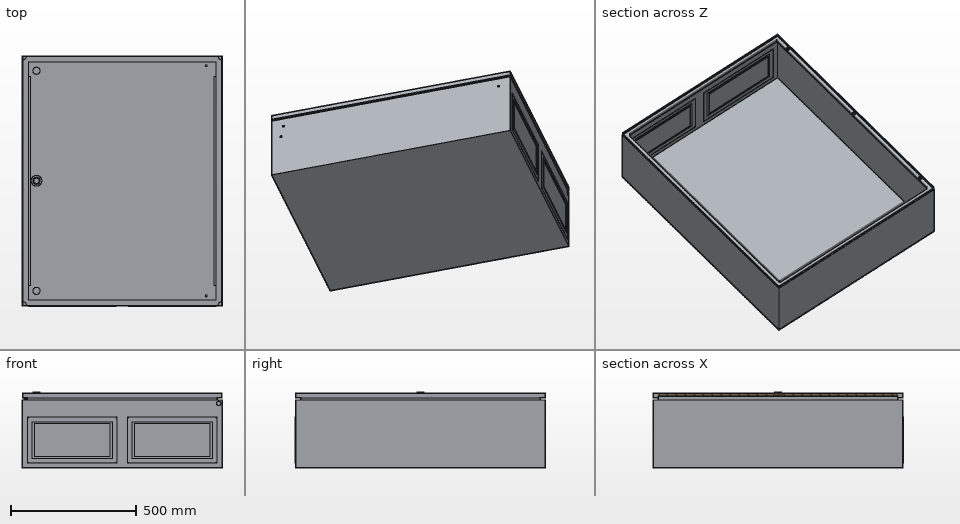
import cadquery as cq


WIDTH = 800.0
LENGTH = 1000.0
CABINET_HEIGHT = 273.0
CABINET_SHEET = 1.5

RIM_WIDTH = 760.0
RIM_LENGTH = 960.0
RIM_CORNER_RADIUS = 6.0
RIM_TOP = 288.0
RIM_LIP = 16.0

STOP_X = -389.0
STOP_PITCH = 421.0
STOP_WIDTH = 8.0
STOP_LENGTH = 12.0
STOP_TOP = 277.0

SIDE_HOLE_DIAMETER = 7.5
SIDE_HOLES_YZ = [(450.0, 234.5), (-450.0, 234.5), (459.5, 185.0)]
FRONT_HOLE_DIAMETER = 17.5
FRONT_HOLE_X = 385.5
FRONT_HOLE_Z = 258.5

DOOR_GAP = 1.0
DOOR_WIDTH = WIDTH - 2 * DOOR_GAP
DOOR_LENGTH = LENGTH - 2 * DOOR_GAP
DOOR_BOTTOM = 281.0
DOOR_TOP = 300.0
DOOR_SHEET = 1.2
SHEET_UNDERSIDE = DOOR_TOP - DOOR_SHEET
CORNER_GUSSET_RADIUS = 16.0
CORNER_GUSSET_HEIGHT = 0.8

PANEL_WIDTH = 748.0
PANEL_LENGTH = 952.0
RELIEF_WIDTH = 7.5
RELIEF_LENGTH = 836.0
RELIEF_DEPTH = 0.8

FITTING_X = -343.0
FITTING_HOLE_DIAMETER = 28.5
FITTING_HOLE_Y = 440.0
HINGE_HOLE_DIAMETER = 7.5
HINGE_HOLE_X = 336.0
HINGE_HOLE_Y = 460.0

LOCK_TOP = 304.1
LOCK_FLANGE_DIAMETER = 43.0
LOCK_FLANGE_HEIGHT = 1.0
LOCK_SOCKET_DIAMETER = 22.0
LOCK_SOCKET_DEPTH = 2.0

PLATE_X = 199.5
PLATE_Z = 111.75
PLATE_WIDTH = 357.0
PLATE_HEIGHT = 184.0
PLATE_THICKNESS = 2.0
PLATE_BEVEL_WIDTH = 3.5
PLATE_BEVEL_DEPTH = 1.0
BEAD_OUTER_WIDTH = 321.0
BEAD_OUTER_HEIGHT = 146.0
BEAD_DEPTH = 0.5
PLATE_OPENING_WIDTH = 303.0
PLATE_OPENING_HEIGHT = 131.0


def block(width, length, bottom, top, x=0.0, y=0.0):
    """Upright box centred on (x, y), from height bottom to height top."""
    return cq.Workplane("XY", origin=(x, y, bottom)).rect(width, length).extrude(top - bottom)


def cylinder(diameter, bottom, top, x, y):
    """Upright cylinder centred on (x, y), from height bottom to height top."""
    return cq.Workplane("XY", origin=(x, y, bottom)).circle(diameter / 2).extrude(top - bottom)


def front_block(width, height, back_y, thickness, x):
    """Box level with the gland plates, growing from back_y toward -Y."""
    plane = cq.Workplane("XZ", origin=(x, back_y, PLATE_Z))
    return plane.rect(width, height).extrude(thickness)


def make_cabinet():
    outer = block(WIDTH, LENGTH, 0, CABINET_HEIGHT)
    rim = block(RIM_WIDTH, RIM_LENGTH, CABINET_HEIGHT, RIM_TOP)
    rim = rim.edges("|Z").fillet(RIM_CORNER_RADIUS)
    body = outer.union(rim)

    inside_top = CABINET_HEIGHT - CABINET_SHEET
    wall = 2 * CABINET_SHEET
    body = body.cut(block(WIDTH - wall, LENGTH - wall, CABINET_SHEET, inside_top))
    body = body.cut(block(RIM_WIDTH - wall, RIM_LENGTH - wall, inside_top, RIM_TOP - CABINET_SHEET))
    body = body.cut(block(RIM_WIDTH - 2 * RIM_LIP, RIM_LENGTH - 2 * RIM_LIP, inside_top, RIM_TOP))

    for row in (-1, 0, 1):
        stop = block(STOP_WIDTH, STOP_LENGTH, CABINET_HEIGHT, STOP_TOP, STOP_X, row * STOP_PITCH)
        body = body.union(stop)

    for y, z in SIDE_HOLES_YZ:
        hole = cq.Workplane("YZ", origin=(-WIDTH / 2, y, z)).circle(SIDE_HOLE_DIAMETER / 2)
        body = body.cut(hole.extrude(CABINET_SHEET))

    front_wall_back = CABINET_SHEET - LENGTH / 2
    front_hole = cq.Workplane("XZ", origin=(FRONT_HOLE_X, front_wall_back, FRONT_HOLE_Z))
    body = body.cut(front_hole.circle(FRONT_HOLE_DIAMETER / 2).extrude(CABINET_SHEET))
    for x in (-PLATE_X, PLATE_X):
        opening = front_block(PLATE_OPENING_WIDTH, PLATE_OPENING_HEIGHT, front_wall_back, CABINET_SHEET, x)
        body = body.cut(opening)
    return body


def make_panel():
    """Inner door panel, relieved next to the sheet along both long sides."""
    panel = block(PANEL_WIDTH, PANEL_LENGTH, RIM_TOP, SHEET_UNDERSIDE)
    for side in (-1, 1):
        x = side * (PANEL_WIDTH - RELIEF_WIDTH) / 2
        relief_bottom = SHEET_UNDERSIDE - RELIEF_DEPTH
        panel = panel.cut(block(RELIEF_WIDTH, RELIEF_LENGTH, relief_bottom, SHEET_UNDERSIDE, x))
    return panel


def make_corner_gussets():
    """Quarter discs that fill the corners of the door below its sheet."""
    bottom = SHEET_UNDERSIDE - CORNER_GUSSET_HEIGHT
    discs = (
        cq.Workplane("XY", origin=(0, 0, bottom))
        .rect(DOOR_WIDTH, DOOR_LENGTH, forConstruction=True)
        .vertices()
        .circle(CORNER_GUSSET_RADIUS)
        .extrude(CORNER_GUSSET_HEIGHT)
    )
    return discs.intersect(block(DOOR_WIDTH, DOOR_LENGTH, bottom, SHEET_UNDERSIDE))


def make_door():
    door = block(DOOR_WIDTH, DOOR_LENGTH, DOOR_BOTTOM, DOOR_TOP)
    inner_width = DOOR_WIDTH - 2 * DOOR_SHEET
    inner_length = DOOR_LENGTH - 2 * DOOR_SHEET
    door = door.cut(block(inner_width, inner_length, DOOR_BOTTOM, SHEET_UNDERSIDE))
    door = door.union(make_panel()).union(make_corner_gussets())

    for side in (-1, 1):
        fitting_y = side * FITTING_HOLE_Y
        hinge_y = side * HINGE_HOLE_Y
        door = door.cut(cylinder(FITTING_HOLE_DIAMETER, SHEET_UNDERSIDE, DOOR_TOP, FITTING_X, fitting_y))
        door = door.cut(cylinder(HINGE_HOLE_DIAMETER, SHEET_UNDERSIDE, DOOR_TOP, HINGE_HOLE_X, hinge_y))
    return door.cut(cylinder(FITTING_HOLE_DIAMETER, RIM_TOP, DOOR_TOP, FITTING_X, 0))


def make_lock():
    barrel = cylinder(FITTING_HOLE_DIAMETER, RIM_TOP, LOCK_TOP, FITTING_X, 0)
    flange = cylinder(LOCK_FLANGE_DIAMETER, DOOR_TOP, DOOR_TOP + LOCK_FLANGE_HEIGHT, FITTING_X, 0)
    socket = cylinder(LOCK_SOCKET_DIAMETER, LOCK_TOP - LOCK_SOCKET_DEPTH, LOCK_TOP, FITTING_X, 0)
    return barrel.union(flange).cut(socket)


def make_gland_plate(x):
    """Bevelled cover plate with a shallow sunken bead framing the opening behind it."""
    cabinet_front = -LENGTH / 2
    plate = front_block(PLATE_WIDTH, PLATE_HEIGHT, cabinet_front, PLATE_THICKNESS, x)
    plate = plate.faces("<Y").chamfer(PLATE_BEVEL_DEPTH, PLATE_BEVEL_WIDTH)
    bead_floor = cabinet_front - PLATE_THICKNESS + BEAD_DEPTH
    bead = front_block(BEAD_OUTER_WIDTH, BEAD_OUTER_HEIGHT, bead_floor, BEAD_DEPTH, x)
    bead = bead.cut(front_block(PLATE_OPENING_WIDTH, PLATE_OPENING_HEIGHT, bead_floor, BEAD_DEPTH, x))
    return plate.cut(bead)


cabinet = make_cabinet()
door = make_door()
lock = make_lock()
gland_plates = [make_gland_plate(x) for x in (-PLATE_X, PLATE_X)]

result = cq.Compound.makeCompound(
    [cabinet.val(), door.val(), lock.val(), *[plate.val() for plate in gland_plates]]
)